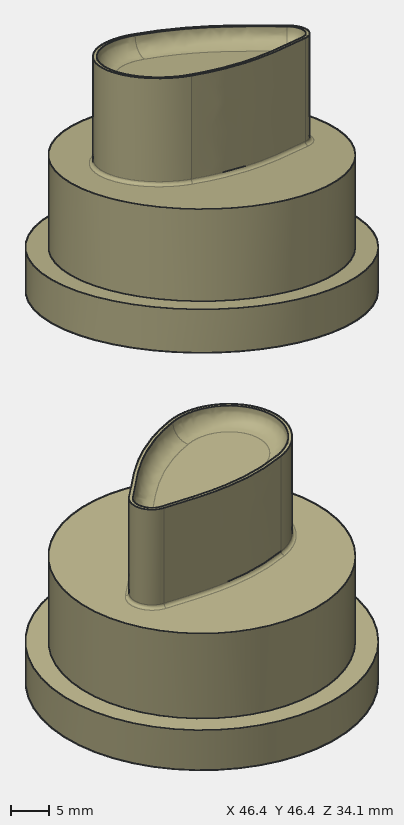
import cadquery as cq
import math

flange_diameter = 46.4
flange_height = 6.12
drum_diameter = 40.35
drum_height = 12.95

total_height = 34.05
tip_end_y = 15.45
tip_radius = 3.0
tip_flank_angle = 26.5
widest_half_width = 8.65
widest_y = -5.8
blunt_end_y = -15.05
foot_fillet = 0.5

rim_width = 0.5
pocket_depth = 2.5
pocket_fillet = 2.45

drum_top = flange_height + drum_height
grip_height = total_height - drum_top


def teardrop(inset=0):
    """Closed teardrop outline, symmetric about the Y axis, drawn inside the grip wall by inset."""
    tip_center_y = tip_end_y - tip_radius
    angle = math.radians(tip_flank_angle)
    arc_radius = tip_radius - inset
    half_width = widest_half_width - inset
    blunt_length = widest_y - blunt_end_y - inset
    flank_x = arc_radius * math.cos(angle)
    flank_y = tip_center_y + arc_radius * math.sin(angle)
    slope_x = math.sin(angle)
    slope_y = math.cos(angle)
    return (
        cq.Workplane("XY")
        .moveTo(-flank_x, flank_y)
        .threePointArc((0, tip_end_y - inset), (flank_x, flank_y))
        .spline([(half_width, widest_y)], tangents=[(slope_x, -slope_y), (0, -1)], includeCurrent=True)
        .ellipseArc(half_width, blunt_length, 180, 360, sense=-1, startAtCurrent=True)
        .spline([(-flank_x, flank_y)], tangents=[(0, 1), (slope_x, slope_y)], includeCurrent=True)
        .close()
    )


def make_base():
    flange = cq.Workplane("XY").circle(flange_diameter / 2).extrude(flange_height)
    return flange.faces(">Z").workplane().circle(drum_diameter / 2).extrude(drum_height)


def make_grip():
    return teardrop().extrude(grip_height).translate((0, 0, drum_top))


def make_pocket():
    """Solid to cut away: the inset teardrop with a rounded floor edge."""
    pocket = teardrop(rim_width).extrude(pocket_depth)
    pocket = pocket.faces("<Z").edges().fillet(pocket_fillet)
    return pocket.translate((0, 0, total_height - pocket_depth))


result = make_base().union(make_grip())
grip_foot = (
    result.faces(cq.selectors.BoxSelector(
        (-drum_diameter, -drum_diameter, drum_top - foot_fillet),
        (drum_diameter, drum_diameter, drum_top + foot_fillet),
    ))
    .wires(cq.selectors.LengthNthSelector(0))
    .edges()
)
result = grip_foot.fillet(foot_fillet).cut(make_pocket())